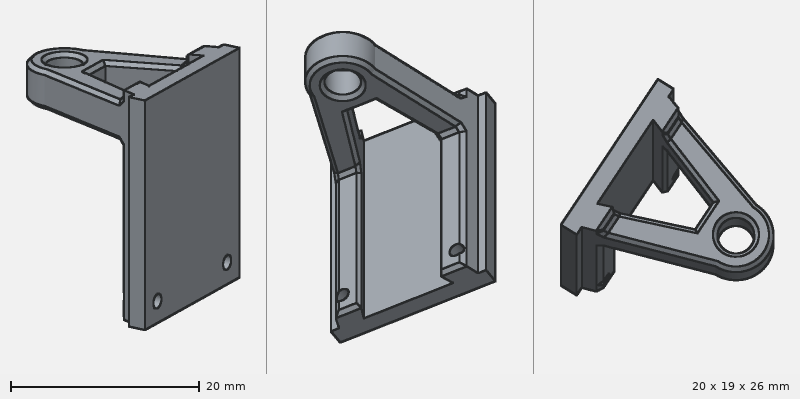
import cadquery as cq

height = 26.0
plate_width = 19.0
plate_thickness = 2.0
plate_back = 16.0
plate_front = plate_back - plate_thickness

boss_radius = 4.0
bore_diameter = 3.9
chamfer = 0.5
arm_thickness = 4.5
arm_drop = 1.48
arm_top = height - arm_drop
arm_bottom = arm_top - arm_thickness
plate_margin = 1.0
fork_half_width = plate_width / 2 - plate_margin
window_start = 4.0
window_start_half_width = 1.77
window_end_half_width = 5.45

column_depth = 2.0
column_front = plate_front - column_depth
bevel = 0.5

hole_diameter = 1.6
hole_spacing = 14.0
hole_height = 2.5

tolerance = 0.003


def fork_plan():
    """Full-height prism of the rounded V outline with its tapered window."""
    outline = (
        cq.Workplane("XY")
        .moveTo(plate_front, -fork_half_width)
        .lineTo(0, -boss_radius)
        .threePointArc((-boss_radius, 0), (0, boss_radius))
        .lineTo(plate_front, fork_half_width)
        .close()
        .extrude(height)
    )
    window = (
        cq.Workplane("XY")
        .moveTo(window_start, -window_start_half_width)
        .lineTo(plate_front, -window_end_half_width)
        .lineTo(plate_front, window_end_half_width)
        .lineTo(window_start, window_start_half_width)
        .close()
        .extrude(height)
    )
    return outline.cut(window)


def side_profile():
    """Sideways T of the arm and columns, with 45 degree bevels at the inner corners."""
    return (
        cq.Workplane("XZ")
        .moveTo(plate_front, 0)
        .lineTo(column_front, 0)
        .lineTo(column_front, arm_bottom - bevel)
        .lineTo(column_front - bevel, arm_bottom)
        .lineTo(-boss_radius, arm_bottom)
        .lineTo(-boss_radius, arm_top)
        .lineTo(column_front - bevel, arm_top)
        .lineTo(column_front, arm_top + bevel)
        .lineTo(column_front, height)
        .lineTo(plate_front, height)
        .close()
        .extrude(plate_width / 2, both=True)
    )


def is_chamfered(edge):
    """Pick the convex rim of the arm, bevels and column fronts."""
    box = edge.BoundingBox()
    in_front = box.xmax < column_front + tolerance
    upright = box.xmax - box.xmin < tolerance and box.ymax - box.ymin < tolerance
    on_arm_wall = upright and box.xmax < column_front - tolerance
    across = box.zmax - box.zmin < tolerance and box.xmax - box.xmin < tolerance
    at_column_end = box.zmin < tolerance or box.zmax > height - tolerance
    at_bevel = across and box.xmin > column_front - bevel - tolerance and not at_column_end
    return in_front and not on_arm_wall and not at_bevel


def fork():
    """Arm and columns with the bore, all front rims chamfered."""
    body = fork_plan().intersect(side_profile())
    bore = cq.Workplane("XY").circle(bore_diameter / 2).extrude(height)
    body = body.cut(bore)
    rim_edges = [edge for edge in body.edges().vals() if is_chamfered(edge)]
    return body.newObject(rim_edges).chamfer(chamfer)


plate = cq.Workplane("XY").box(
    plate_thickness, plate_width, height, centered=(False, True, False)
).translate((plate_front, 0, 0))

mounting_holes = (
    cq.Workplane("YZ", origin=(column_front, 0, 0))
    .pushPoints([(side * hole_spacing / 2, hole_height) for side in (-1, 1)])
    .circle(hole_diameter / 2)
    .extrude(plate_back - column_front)
)

result = plate.union(fork()).cut(mounting_holes)